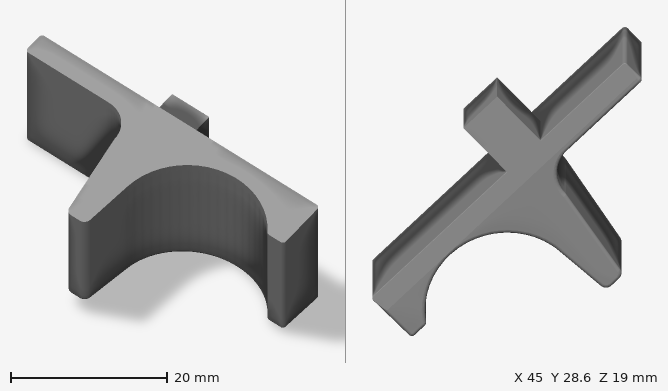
import cadquery as cq
import math

length = 45.0
height = 19.0
plate_thickness = 3.38
hook_depth = 7.55
blade_reach = 20.55

seat_radius = 10.25
seat_x = 33.85
seat_y = -13.25

blade_root_x = 17.65
tip_left_x = 19.95
tip_right_x = 23.05
root_radius = 4.15
tip_radius = 1.0

peg_left_x = 14.95
peg_width = 6.0
peg_reach = 8.0
peg_height = 10.0

slope_start_y = -2.6
slope_angle = 7.2
slope = math.tan(math.radians(slope_angle))
slope_back_z = slope * slope_start_y
slope_front_z = slope * (blade_reach + slope_start_y)
corner_radius = 0.5
bottom_radius = 0.5
skirt_depth = 2.25


def tangent_point_on_seat(x, y):
    """Point where a line from (x, y) touches the blade side of the seat."""
    dx = x - seat_x
    dy = y - seat_y
    angle = math.atan2(dy, dx) - math.acos(seat_radius / math.hypot(dx, dy))
    return (
        seat_x + seat_radius * math.cos(angle),
        seat_y + seat_radius * math.sin(angle),
    )


def make_body():
    seat_start = tangent_point_on_seat(tip_right_x, -blade_reach)
    hook_inner_x = seat_x + math.sqrt(seat_radius**2 - (hook_depth + seat_y) ** 2)
    body = (
        cq.Workplane("XY", origin=(0, 0, -skirt_depth))
        .moveTo(0, 0)
        .lineTo(0, -plate_thickness)
        .lineTo(blade_root_x - root_radius, -plate_thickness)
        .tangentArcPoint((blade_root_x, -plate_thickness - root_radius), relative=False)
        .lineTo(tip_left_x, -blade_reach)
        .lineTo(tip_right_x, -blade_reach)
        .lineTo(*seat_start)
        .threePointArc((seat_x, seat_y + seat_radius), (hook_inner_x, -hook_depth))
        .lineTo(length, -hook_depth)
        .lineTo(length, 0)
        .close()
        .extrude(height + skirt_depth)
    )
    return round_upright_edges(body, hook_inner_x)


def upright_edges_at(points):
    """Selector for the full-height edges standing on the given plan points."""
    selector = None
    for x, y in points:
        nearest = cq.selectors.NearestToPointSelector((x, y, (height - skirt_depth) / 2))
        selector = nearest if selector is None else selector + nearest
    return selector


def round_upright_edges(body, hook_inner_x):
    outer_corners = [
        (0, 0),
        (0, -plate_thickness),
        (length, 0),
        (length, -hook_depth),
        (hook_inner_x, -hook_depth),
    ]
    tip_corners = [(tip_left_x, -blade_reach), (tip_right_x, -blade_reach)]
    body = body.edges(upright_edges_at(tip_corners)).fillet(tip_radius)
    return body.edges(upright_edges_at(outer_corners)).fillet(corner_radius)


def cut_underside_slope(body):
    wedge = (
        cq.Workplane("YZ")
        .moveTo(0, slope_back_z)
        .lineTo(-blade_reach, slope_front_z)
        .lineTo(-blade_reach, -skirt_depth)
        .lineTo(0, -skirt_depth)
        .close()
        .extrude(length)
    )
    return body.cut(wedge)


def round_underside(body):
    underside = cq.selectors.NearestToPointSelector((blade_root_x, slope_start_y, 0))
    return body.faces(underside).edges().fillet(bottom_radius)


def trim_flat_at_base(body):
    """Cut off the back of the sloped underside where it dips below Z = 0."""
    below_base = cq.Workplane("XY").box(
        length, blade_reach, skirt_depth, centered=False
    ).translate((0, -blade_reach, -skirt_depth))
    return body.cut(below_base)


def make_peg():
    """Rear peg, rooted halfway into the plate."""
    root_depth = plate_thickness / 2
    return cq.Workplane("XY").box(
        peg_width, peg_reach + root_depth, peg_height, centered=False
    ).translate((peg_left_x, -root_depth, 0))


body = cut_underside_slope(make_body())
body = round_underside(body)
body = trim_flat_at_base(body)
result = body.union(make_peg())